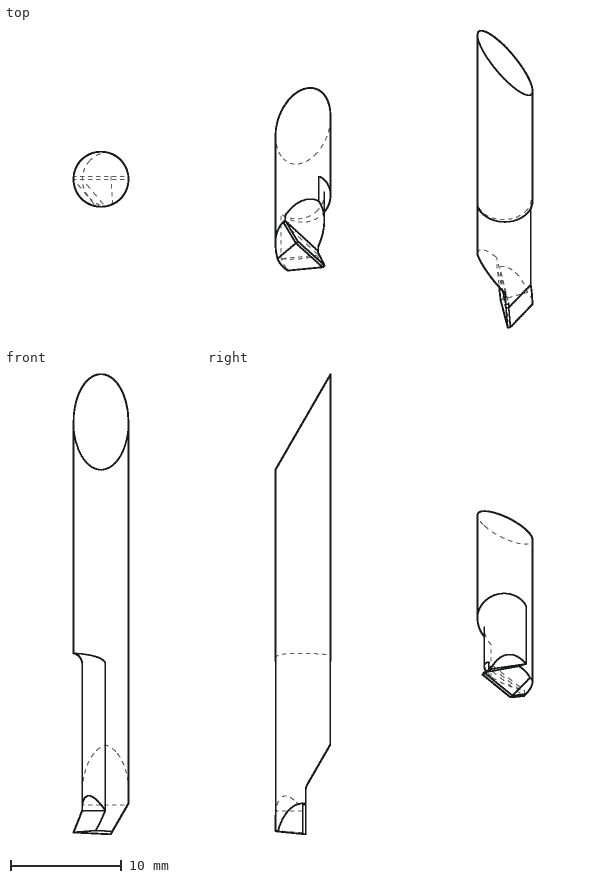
import cadquery as cq
import math

length = 41.6
bar_radius = 2.5
bevel_angle = 30.0
bevel_slope = math.tan(math.radians(bevel_angle))

neck_offset = 0.8
neck_top = 15.4
flare_radius = 1.0

head_top = 2.15
tip_height = 0.15
flank_lean = neck_offset / (head_top - tip_height)
back_foot = 0.87
relief_angle = 6.0

rake_y = 0.25
slope_top = 8.15
rake_top = slope_top - (bar_radius - rake_y) / bevel_slope
rake_blend = 1.25

valley_rise = 1.35
valley_end_x = neck_offset / 2
valley_end_y = -math.sqrt(bar_radius**2 - valley_end_x**2)
facet_foot_x = -0.4
facet_foot_z = 0.45

edge_height = 2.7
margin = 2.1


def prism_along_x(points):
    """Prism across the bar from (Y, Z) points."""
    reach = bar_radius + margin
    return cq.Workplane("YZ", origin=(-reach, 0, 0)).polyline(points).close().extrude(2 * reach)


def prism_along_y(points):
    """Prism across the bar from (X, Z) points."""
    reach = bar_radius + margin
    return cq.Workplane("XZ", origin=(0, reach, 0)).polyline(points).close().extrude(2 * reach)


def neck_and_shank():
    """Neck cylinder with a concave flare that opens wider than the shank."""
    wide = bar_radius + flare_radius
    middle = flare_radius * math.sqrt(0.5)
    profile = (
        cq.Workplane("XZ", origin=(neck_offset, 0, 0))
        .moveTo(0, head_top)
        .lineTo(bar_radius, head_top)
        .lineTo(bar_radius, neck_top)
        .threePointArc((wide - middle, neck_top + middle), (wide, neck_top + flare_radius))
        .lineTo(wide, length)
        .lineTo(0, length)
        .close()
    )
    return profile.revolve(360, (0, 0, 0), (0, 1, 0))


def head_blank():
    """Leaning cylinder behind the cutting edge, with full bar stock left in front of it."""
    foot_x = -flank_lean * tip_height
    leaning = (
        cq.Workplane("XY")
        .center(foot_x, 0)
        .circle(bar_radius)
        .workplane(offset=head_top)
        .center(neck_offset - foot_x, 0)
        .circle(bar_radius)
        .loft(ruled=True, combine=True)
    )
    size = 4 * bar_radius
    front_stock = cq.Workplane("XY").center(0, -size / 2).rect(size, size).extrude(head_top)
    return leaning.union(front_stock)


def shank_bevel():
    low = length - 2 * bar_radius / bevel_slope
    extra = margin / bevel_slope
    return prism_along_x([
        (-bar_radius - margin, low - extra),
        (bar_radius + margin, length + extra),
        (-bar_radius - margin, length + extra),
    ])


def rake_cut():
    outer_y = bar_radius + margin
    cutter = prism_along_x([
        (rake_y, -margin),
        (rake_y, rake_top),
        (outer_y, slope_top + margin / bevel_slope),
        (outer_y, -margin),
    ])
    bend = cq.NearestToPointSelector((0, rake_y, rake_top))
    return cutter.edges("|X").edges(bend).fillet(rake_blend)


def back_bevel():
    outer_x = bar_radius + margin
    return prism_along_y([
        (back_foot - margin * bevel_slope, -margin),
        (outer_x, (outer_x - back_foot) / bevel_slope),
        (outer_x, -margin),
    ])


def bottom_relief():
    """Wedge below the bottom face, which rises from the cutting edge towards -Y and -X."""
    reach = bar_radius + margin
    side_angle = math.degrees(math.atan(tip_height / (bar_radius + back_foot)))
    return (
        cq.Workplane("XY")
        .box(2 * reach, 2 * reach, margin, centered=(True, True, False))
        .translate((0, 0, -margin))
        .rotate((0, 0, 0), (1, 0, 0), -relief_angle)
        .rotate((0, 0, 0), (0, 1, 0), side_angle)
        .translate((back_foot, rake_y, 0))
    )


def slab_outside(point_a, point_b, point_c):
    """Thick slab with one face through three points, on the side away from the bar's axis."""
    normal = (point_b - point_a).cross(point_c - point_a).normalized()
    if normal.dot(cq.Vector(point_a.x + point_b.x, point_a.y + point_b.y, 0)) < 0:
        normal = normal * -1
    size = 4 * bar_radius
    plane = cq.Plane(origin=point_a, xDir=point_b - point_a, normal=normal)
    return cq.Workplane(plane).rect(size, size).extrude(size)


def front_relief():
    """Valley across the neck, with the flank and the facet below it."""
    start = cq.Vector(neck_offset - bar_radius, 0, head_top)
    end = cq.Vector(valley_end_x, valley_end_y, head_top)
    tip = cq.Vector(-bar_radius, 0, tip_height)
    foot = cq.Vector(facet_foot_x, -math.sqrt(bar_radius**2 - facet_foot_x**2), facet_foot_z)

    chord = end - start
    sagitta = bar_radius - math.sqrt(bar_radius**2 - chord.Length**2 / 4)
    outward = cq.Vector(chord.y, -chord.x, 0).normalized()
    peak = start + chord * 0.5 + outward * sagitta + cq.Vector(0, 0, valley_rise)

    size = 4 * bar_radius
    above = cq.Workplane("XY", origin=(0, 0, head_top)).rect(size, size).extrude(size)
    valley = slab_outside(start, end, peak).intersect(above)
    lower = slab_outside(start, end, foot).union(slab_outside(start, foot, tip)).cut(above)
    front_half = cq.Workplane("XY").center(0, -size / 2).rect(size, size).extrude(size)
    return valley.union(lower).intersect(front_half)


bar = cq.Workplane("XY").circle(bar_radius).extrude(length)
tool = bar.intersect(neck_and_shank().union(head_blank()))
for cutter in (shank_bevel(), rake_cut(), back_bevel(), bottom_relief()):
    tool = tool.cut(cutter)

edge_zone = cq.Workplane("XY").box(
    2 * (bar_radius + margin), rake_y + margin, edge_height, centered=(True, False, False)
)
cutting_edge = tool.intersect(edge_zone)
shank = tool.cut(edge_zone).cut(front_relief())

result = cq.Compound.makeCompound([shank.val(), cutting_edge.val()])